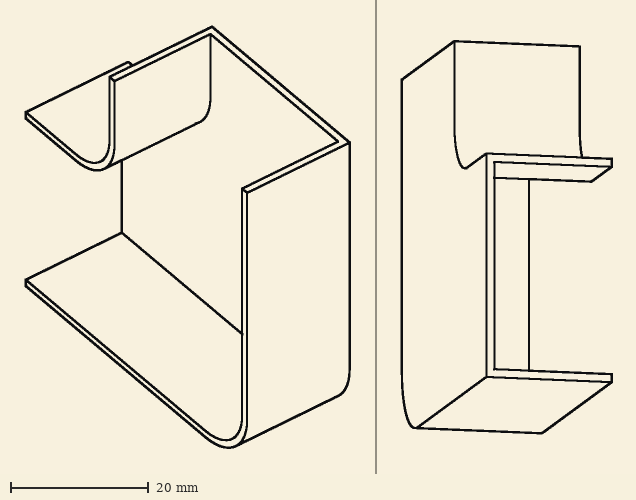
import cadquery as cq

leg_length = 20.0
channel_width = 32.9
depth = 18.7
wall = 1.2
outer_radius = 10.0
notch_radius = 8.0

size = leg_length + channel_width
half_size = size / 2
half_depth = depth / 2


def elbow(inset, front_y, back_y):
    """L-shaped block with both corners rounded, its side walls moved in by inset."""
    left = -half_size
    top = half_size
    right = half_size - inset
    bottom = -half_size + inset
    notch_x = -half_size + leg_length + inset
    notch_z = half_size - leg_length - inset
    block = (
        cq.Workplane("XZ", origin=(0, back_y, 0))
        .moveTo(left, bottom)
        .lineTo(right, bottom)
        .lineTo(right, top)
        .lineTo(notch_x, top)
        .lineTo(notch_x, notch_z)
        .lineTo(left, notch_z)
        .close()
        .extrude(back_y - front_y)
    )
    middle_y = (front_y + back_y) / 2
    outer_corner = cq.selectors.NearestToPointSelector((right, middle_y, bottom))
    notch_corner = cq.selectors.NearestToPointSelector((notch_x, middle_y, notch_z))
    block = block.edges("|Y").edges(outer_corner).fillet(outer_radius - inset)
    return block.edges("|Y").edges(notch_corner).fillet(notch_radius + inset)


body = elbow(0, -half_depth, half_depth)
cavity = elbow(wall, -half_depth, half_depth - wall)
result = body.cut(cavity)